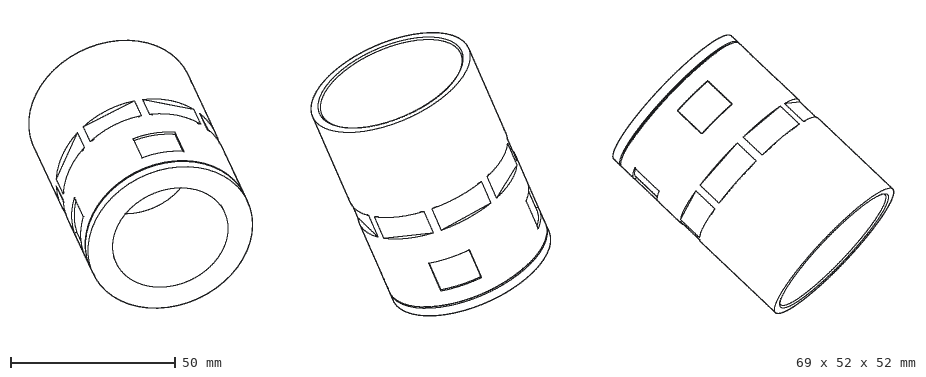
import cadquery as cq

length = 69.0
outer_diameter = 52.0
socket_diameter = 46.2
mouth_diameter = 47.3
through_diameter = 36.5
socket_depth = 29.0

flat_count = 8
flat_start = 32.0
flat_end = 40.1
flat_radius = 24.5

window_floor_diameter = 50.45
window_count = 4
window_start = 50.0
window_end = 60.45
window_width = 13.2

groove_floor_diameter = 50.0
groove_start = 65.6
groove_width = 0.5

outer_radius = outer_diameter / 2


def cylinder(diameter, start, end):
    """Solid cylinder on the X axis."""
    return cq.Workplane("YZ", origin=(start, 0, 0)).circle(diameter / 2).extrude(end - start)


def radial_block(start, end, width, inner_radius, angle):
    """Block reaching outward from inner_radius to the outer surface, turned about X."""
    block = cq.Workplane("XY").box(
        end - start, width, outer_radius, centered=(False, True, False)
    )
    return block.translate((start, 0, inner_radius)).rotate((0, 0, 0), (1, 0, 0), angle)


def make_sleeve():
    """Tube with a stepped bore and a chamfered socket mouth."""
    mouth_chamfer = (mouth_diameter - socket_diameter) / 2
    sleeve = cylinder(outer_diameter, 0, length)
    sleeve = sleeve.cut(cylinder(through_diameter, 0, length))
    sleeve = sleeve.cut(cylinder(socket_diameter, 0, socket_depth))
    mouth = cq.Solid.makeCone(
        mouth_diameter / 2, socket_diameter / 2, mouth_chamfer,
        pnt=cq.Vector(0, 0, 0), dir=cq.Vector(1, 0, 0),
    )
    return sleeve.cut(cq.Workplane(obj=mouth))


def cut_flats(body):
    pitch = 360 / flat_count
    for index in range(flat_count):
        angle = (index + 0.5) * pitch
        body = body.cut(radial_block(flat_start, flat_end, outer_diameter, flat_radius, angle))
    return body


def cut_windows(body):
    core = cylinder(window_floor_diameter, window_start, window_end)
    for index in range(window_count):
        angle = index * 360 / window_count
        block = radial_block(window_start, window_end, window_width, outer_radius / 2, angle)
        body = body.cut(block.cut(core))
    return body


def cut_groove(body):
    groove_end = groove_start + groove_width
    ring = cylinder(outer_diameter, groove_start, groove_end)
    ring = ring.cut(cylinder(groove_floor_diameter, groove_start, groove_end))
    return body.cut(ring)


result = cut_groove(cut_windows(cut_flats(make_sleeve())))